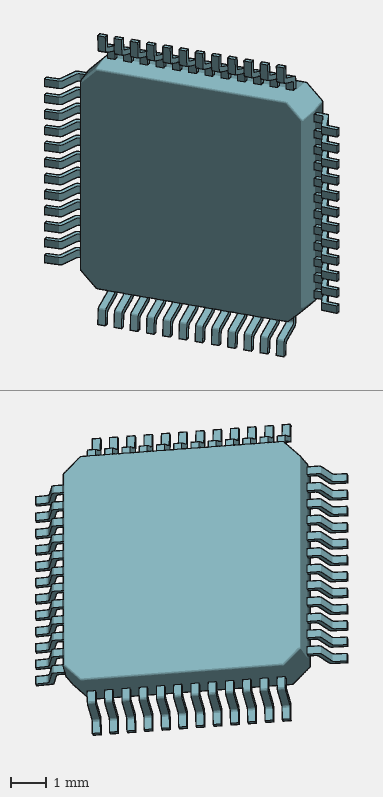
import cadquery as cq
import math


overall_span = 9.02
overall_height = 1.55

standoff = 0.05
body_width = 7.02
corner_cut = 0.54
draft_angle = 5.0
body_fillet = 0.07
body_half_thickness = (overall_height - standoff) / 2
parting_y = standoff + body_half_thickness

leads_per_side = 12
lead_row = 5.5
lead_width = 0.235
lead_thickness = 0.15
foot_length = 0.45
foot_tilt = 4.0
shank_angle = 72.0
bend_radius = 0.1
lead_overlap = 0.18


def make_body():
    """Octagonal body, drafted both ways from the parting plane, with rounded edges."""
    outline = cq.Sketch().rect(body_width, body_width).vertices().chamfer(corner_cut)
    half = (
        cq.Workplane("XZ", origin=(0, parting_y, 0))
        .placeSketch(outline)
        .extrude(body_half_thickness, taper=draft_angle)
        .edges("not #Y")
        .fillet(body_fillet)
        .faces("<Y")
        .edges()
        .fillet(body_fillet)
    )
    return half.union(half.mirror("XZ", (0, parting_y, 0)))


def offset_point(centre, angle_before, angle_after, distance):
    """Mitred point at a distance to the left of a centreline that turns at the given point."""
    mean_angle = math.radians((angle_before + angle_after) / 2)
    half_turn = math.radians((angle_after - angle_before) / 2)
    reach = distance / math.cos(half_turn)
    return (
        centre[0] - reach * math.sin(mean_angle),
        centre[1] + reach * math.cos(mean_angle),
    )


def make_lead():
    """One lead on the -X side, centred on z = 0."""
    tilt = math.radians(foot_tilt)
    tip = (-overall_span / 2, lead_thickness / 2 / math.cos(tilt))
    heel = (tip[0] + foot_length, tip[1] + foot_length * math.tan(tilt))
    knee = (heel[0] + (parting_y - heel[1]) / math.tan(math.radians(shank_angle)), parting_y)
    root = (-body_width / 2 + lead_overlap, parting_y)

    centreline = [
        (tip, -foot_tilt, foot_tilt),
        (heel, foot_tilt, shank_angle),
        (knee, shank_angle, 0),
        (root, 0, 0),
    ]
    upper = [offset_point(*point, lead_thickness / 2) for point in centreline]
    lower = [offset_point(*point, -lead_thickness / 2) for point in centreline]
    lead = (
        cq.Workplane("XY")
        .polyline(upper + lower[::-1])
        .close()
        .extrude(lead_width / 2, both=True)
    )
    for corner in (upper[1], upper[2], lower[1], lower[2]):
        lead = lead.edges(cq.NearestToPointSelector((*corner, 0))).fillet(bend_radius)
    return lead


def lead_ring(lead):
    """All leads: a row along each of the four sides."""
    pitch = lead_row / (leads_per_side - 1)
    leads = []
    for side in range(4):
        for index in range(leads_per_side):
            placed = lead.translate((0, 0, index * pitch - lead_row / 2))
            leads.append(placed.rotate((0, 0, 0), (0, 1, 0), 90 * side).val())
    return leads


result = cq.Workplane(make_body().val().fuse(*lead_ring(make_lead())))